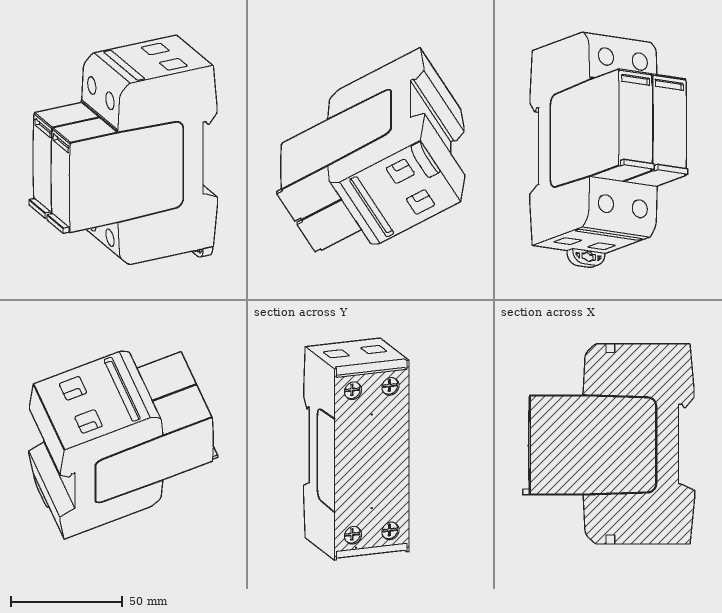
import cadquery as cq


WIDTH = 36.0
POLE_PITCH = WIDTH / 2
POLE_CENTERS = (-POLE_PITCH / 2, POLE_PITCH / 2)
HALF_HEIGHT = 45.0
TOTAL_DEPTH = 77.28
TOTAL_HEIGHT = 96.23

RAIL_HALF_HEIGHT = 17.75
REAR_END_Y = 5.2
REAR_END_BEVEL = 0.35
UPPER_REAR_Y = 7.0
UPPER_REAR_BEND_Z = 24.5
UPPER_REAR_END_Z = 20.9
HOOK_TIP_Y = 2.7
HOOK_TIP_Z = 15.7
HOOK_ROOT_Y = 1.5
HOOK_TIP_RADIUS = 0.6
LOWER_REAR_Y = 7.3
LOWER_REAR_TOP_Z = -20.9
LOWER_REAR_BEND_Z = -24.0
LOWER_RAMP_Y = 1.9
LOWER_RAMP_Z = -18.3

FRONT_Y = -42.9
FRONT_TOP_Y = -36.7
CREST_BEND = (-37.5, 44.65)
CREST_END = (-38.3, 44.1)
BEVEL_END = (-40.4, 42.1)
SHOULDER_MID = (-41.5, 40.6)
SHOULDER_END = (-42.1, 38.6)
LIP_Z = 23.1
LIP_DEPTH = 0.3
LIP_DROP = 0.6

MODULE_TOP_Z = 21.95
MODULE_BOTTOM_Z = -22.9
MODULE_REAR_Y = -9.9
MODULE_REAR_TAPER = 1.05
MODULE_REAR_RADIUS = 4.2
MODULE_FRONT_Y = -67.0
MODULE_FRONT_BULGE = 0.45
MODULE_EDGE_CHAMFER = 0.3
FRONT_CHAMFER_DEPTH = 0.3
FRONT_CHAMFER_HEIGHT = 0.7
JOINT_GROOVE = 0.4

TAB_WIDTH = 16.0
TAB_TOP_Z = -20.25
TAB_CHAMFER = 0.25
TAB_FRONT_Y = LOWER_REAR_Y - TOTAL_DEPTH
WINDOW_WIDTH = 14.8
WINDOW_TOP_Z = 19.55
WINDOW_BOTTOM_Z = 16.3
WINDOW_DEPTH = 2.0
WINDOW_CORNER_CHAMFER = 0.5

SCREW_CENTERS_Z = (33.7, -34.2)
SCREW_HOLE_DIAMETER = 8.0
SCREW_HEAD_Y = -30.0
SCREW_SLOT_WIDTH = 1.05
SCREW_SLOT_HEIGHT = 5.3
SCREW_SLOT_DEPTH = 1.0

WIRE_WIDTH = 9.2
WIRE_LENGTH = 9.9
WIRE_CENTER_Y = -10.45
WIRE_DEPTH = 12.0
WIRE_RADIUS = 1.1
MARKER_WIDTH = 33.7
MARKER_LENGTH = 3.85
MARKER_CENTER_Y = -30.6
MARKER_DEPTH = 4.0
MARKER_RADIUS = 1.0

CLIP_CENTER_X = POLE_CENTERS[1]
CLIP_WIDTH = 17.1
CLIP_REAR_Y = 5.1
CLIP_FRONT_Y = 0.2
CLIP_BOTTOM_Z = HALF_HEIGHT - TOTAL_HEIGHT
CLIP_RADIUS = 5.6
CLIP_RECESS_DEPTH = 2.0
CLIP_DISC_Z = -47.6
CLIP_DISC_DIAMETER = 4.5
CLIP_SLOT_WIDTH = 7.0
CLIP_SLOT_HEIGHT = 2.6
CLIP_SLOT_RADIUS = 0.4
CLIP_NOTCH_INNER = 4.95
CLIP_NOTCH_OUTER = 6.6
CLIP_NOTCH_TOP_Z = -46.6
CLIP_NOTCH_SHORT = 0.9
CLIP_NOTCH_LONG = 2.2


def box(x_range, y_range, z_range):
    """Box between the given limits on each axis."""
    lows, highs = zip(x_range, y_range, z_range)
    sizes = [high - low for low, high in zip(lows, highs)]
    return cq.Workplane("XY").box(*sizes, centered=False).translate(lows)


def around(center, size):
    """Limits of a span of the given size about its center."""
    return center - size / 2, center + size / 2


def mirrored(point):
    """Side-profile point reflected to the lower half of the base."""
    y, z = point
    return y, -z


def make_base():
    """Base housing: its side profile carried across the full width."""
    profile = (
        cq.Workplane("YZ")
        .moveTo(REAR_END_Y, HALF_HEIGHT - REAR_END_BEVEL)
        .lineTo(REAR_END_Y - REAR_END_BEVEL, HALF_HEIGHT)
        .lineTo(FRONT_TOP_Y, HALF_HEIGHT)
        .lineTo(*CREST_BEND)
        .lineTo(*CREST_END)
        .lineTo(*BEVEL_END)
        .threePointArc(SHOULDER_MID, SHOULDER_END)
        .lineTo(FRONT_Y, LIP_Z)
        .lineTo(FRONT_Y - LIP_DEPTH, LIP_Z - LIP_DROP)
        .lineTo(FRONT_Y - LIP_DEPTH, MODULE_TOP_Z)
        .lineTo(FRONT_Y, MODULE_TOP_Z)
        .lineTo(FRONT_Y, MODULE_BOTTOM_Z)
        .lineTo(*mirrored(SHOULDER_END))
        .threePointArc(mirrored(SHOULDER_MID), mirrored(BEVEL_END))
        .lineTo(*mirrored(CREST_END))
        .lineTo(*mirrored(CREST_BEND))
        .lineTo(FRONT_TOP_Y, -HALF_HEIGHT)
        .lineTo(REAR_END_Y, -HALF_HEIGHT)
        .lineTo(LOWER_REAR_Y, LOWER_REAR_BEND_Z)
        .lineTo(LOWER_REAR_Y, LOWER_REAR_TOP_Z)
        .lineTo(LOWER_RAMP_Y, LOWER_RAMP_Z)
        .lineTo(0, -RAIL_HALF_HEIGHT)
        .lineTo(0, RAIL_HALF_HEIGHT)
        .lineTo(HOOK_ROOT_Y, RAIL_HALF_HEIGHT)
        .lineTo(HOOK_TIP_Y, HOOK_TIP_Z)
        .lineTo(UPPER_REAR_Y, UPPER_REAR_END_Z)
        .lineTo(UPPER_REAR_Y, UPPER_REAR_BEND_Z)
        .close()
    )
    base = profile.extrude(WIDTH / 2, both=True)
    hook_tip = cq.selectors.NearestToPointSelector((0, HOOK_TIP_Y, HOOK_TIP_Z))
    return base.edges(hook_tip).fillet(HOOK_TIP_RADIUS)


def module_blank(center_x):
    """Plain module body: tapered into the base, straight outside it, bulged at the front."""
    middle_z = (MODULE_TOP_Z + MODULE_BOTTOM_Z) / 2
    blank = (
        cq.Workplane("YZ")
        .moveTo(MODULE_REAR_Y, MODULE_TOP_Z - MODULE_REAR_TAPER)
        .lineTo(FRONT_Y, MODULE_TOP_Z)
        .lineTo(MODULE_FRONT_Y + FRONT_CHAMFER_DEPTH, MODULE_TOP_Z)
        .lineTo(MODULE_FRONT_Y, MODULE_TOP_Z - FRONT_CHAMFER_HEIGHT)
        .threePointArc((MODULE_FRONT_Y - MODULE_FRONT_BULGE, middle_z), (MODULE_FRONT_Y, MODULE_BOTTOM_Z))
        .lineTo(FRONT_Y, MODULE_BOTTOM_Z)
        .lineTo(MODULE_REAR_Y, MODULE_BOTTOM_Z + MODULE_REAR_TAPER)
        .close()
        .extrude(POLE_PITCH / 2, both=True)
        .translate((center_x, 0, 0))
    )
    return blank.edges(">Y and |X").fillet(MODULE_REAR_RADIUS)


def make_module(center_x):
    """Module with beveled side outlines, a pull tab and a recessed window."""
    module = module_blank(center_x).faces("<X or >X").edges("not <Y").chamfer(MODULE_EDGE_CHAMFER)
    tab = box(
        around(center_x, TAB_WIDTH),
        (TAB_FRONT_Y, MODULE_FRONT_Y + MODULE_EDGE_CHAMFER),
        (MODULE_BOTTOM_Z, TAB_TOP_Z),
    )
    tab = tab.edges("<Y and >Z").chamfer(TAB_CHAMFER)
    window = box(
        around(center_x, WINDOW_WIDTH),
        (MODULE_FRONT_Y - MODULE_FRONT_BULGE, MODULE_FRONT_Y + WINDOW_DEPTH),
        (WINDOW_BOTTOM_Z, WINDOW_TOP_Z),
    )
    outer_side = ">X" if center_x > 0 else "<X"
    window = window.faces(outer_side).edges(">Z").chamfer(WINDOW_CORNER_CHAMFER)
    return module.union(tab).cut(window)


def joint_groove():
    """Narrow groove down the front where the two modules meet."""
    return box(
        around(0, JOINT_GROOVE),
        (MODULE_FRONT_Y - MODULE_FRONT_BULGE, MODULE_FRONT_Y + JOINT_GROOVE),
        (MODULE_BOTTOM_Z, MODULE_TOP_Z),
    )


def screw_recess(center_x, center_z):
    """Round shaft down to a screw head with a cross slot."""
    shaft = (
        cq.Workplane("XZ", origin=(center_x, SCREW_HEAD_Y, center_z))
        .circle(SCREW_HOLE_DIAMETER / 2)
        .extrude(SCREW_HEAD_Y - FRONT_Y)
    )
    slot_depth = (SCREW_HEAD_Y, SCREW_HEAD_Y + SCREW_SLOT_DEPTH)
    upright = box(around(center_x, SCREW_SLOT_WIDTH), slot_depth, around(center_z, SCREW_SLOT_HEIGHT))
    level = box(around(center_x, SCREW_HOLE_DIAMETER), slot_depth, around(center_z, SCREW_SLOT_WIDTH))
    level = level.intersect(shaft.translate((0, SCREW_HEAD_Y - FRONT_Y, 0)))
    return shaft.union(upright).union(level)


def end_openings():
    """Wire openings and marker slot of the upper end."""
    marker = box(
        around(0, MARKER_WIDTH),
        around(MARKER_CENTER_Y, MARKER_LENGTH),
        (HALF_HEIGHT - MARKER_DEPTH, HALF_HEIGHT),
    )
    openings = marker.edges("|Z").fillet(MARKER_RADIUS)
    for center_x in POLE_CENTERS:
        wire = box(
            around(center_x, WIRE_WIDTH),
            around(WIRE_CENTER_Y, WIRE_LENGTH),
            (HALF_HEIGHT - WIRE_DEPTH, HALF_HEIGHT),
        )
        openings = openings.union(wire.edges("|Z").fillet(WIRE_RADIUS))
    return openings


def clip_notch(side):
    """Small four-sided recess beside the clip's central one; side is -1 or 1."""
    inner = CLIP_CENTER_X + side * CLIP_NOTCH_INNER
    outer = CLIP_CENTER_X + side * CLIP_NOTCH_OUTER
    return (
        cq.Workplane("XZ", origin=(0, CLIP_FRONT_Y + CLIP_RECESS_DEPTH, 0))
        .moveTo(inner, CLIP_NOTCH_TOP_Z)
        .lineTo(outer, CLIP_NOTCH_TOP_Z)
        .lineTo(outer, CLIP_NOTCH_TOP_Z - CLIP_NOTCH_SHORT)
        .lineTo(inner, CLIP_NOTCH_TOP_Z - CLIP_NOTCH_LONG)
        .close()
        .extrude(CLIP_RECESS_DEPTH)
    )


def make_clip():
    """Rail clip: rounded plate with a central recess and two side recesses."""
    thickness = (CLIP_FRONT_Y, CLIP_REAR_Y)
    recess = (CLIP_FRONT_Y, CLIP_FRONT_Y + CLIP_RECESS_DEPTH)
    plate = box(around(CLIP_CENTER_X, CLIP_WIDTH), thickness, (CLIP_BOTTOM_Z, -HALF_HEIGHT))
    plate = plate.edges("<Z and |Y").fillet(CLIP_RADIUS)
    slot = box(around(CLIP_CENTER_X, CLIP_SLOT_WIDTH), recess, around(CLIP_DISC_Z, CLIP_SLOT_HEIGHT))
    slot = slot.edges("|Y").fillet(CLIP_SLOT_RADIUS)
    disc = (
        cq.Workplane("XZ", origin=(CLIP_CENTER_X, CLIP_FRONT_Y + CLIP_RECESS_DEPTH, CLIP_DISC_Z))
        .circle(CLIP_DISC_DIAMETER / 2)
        .extrude(CLIP_RECESS_DEPTH)
    )
    plate = plate.cut(slot).cut(disc)
    for side in (-1, 1):
        plate = plate.cut(clip_notch(side))
    return plate


def build():
    part = make_base()
    for center_x in POLE_CENTERS:
        part = part.cut(module_blank(center_x))
    for center_x in POLE_CENTERS:
        part = part.union(make_module(center_x))
    part = part.cut(joint_groove())

    for center_x in POLE_CENTERS:
        for center_z in SCREW_CENTERS_Z:
            part = part.cut(screw_recess(center_x, center_z))

    upper_openings = end_openings()
    part = part.cut(upper_openings).cut(upper_openings.mirror("XY"))
    return part.union(make_clip())


result = build()